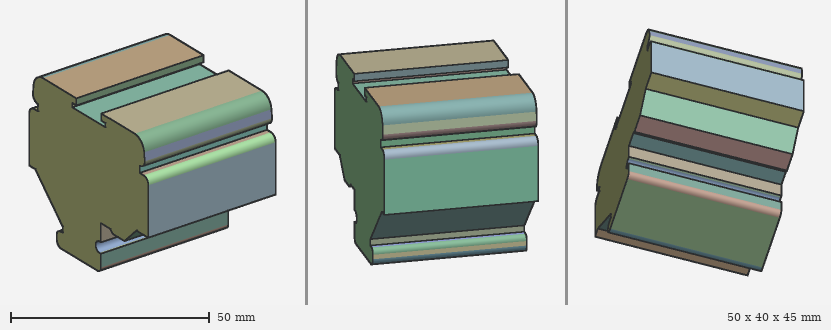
import cadquery as cq
import math

width = 50.0
length = 40.0
height = 45.0
half_width = width / 2

shoulder_top = 34.8
shoulder_bottom = 18.0
shoulder_radius = 2.0

head_half_width = 23.5
head_bottom = 36.8
head_top_radius = 4.0
head_bottom_radius = 2.15
flank_angle = math.radians(5)
neck_half_width = head_half_width - head_bottom_radius
head_flat_half_width = 19.25

slot_mouth_width = 10.5
slot_inner_width = 13.8
slot_lip = 2.0
slot_depth = 3.2

taper_outer_x = -22.5
ankle_x = -11.0
ankle_top = shoulder_bottom - (ankle_x - taper_outer_x)
foot_left = -13.5
foot_right = 5.1
foot_top = 4.8
foot_upper_radius = 1.5
foot_left_radius = 2.0
foot_right_radius = 1.5

groove_radius = 1.6
groove_depth = 2.25
groove_z = 7.0
groove_center_x = foot_right - groove_depth + groove_radius

recess_top = 14.0
ridge_bottom = 13.0
ridge_left = 10.0
ridge_right = 15.0
ridge_outer_x = ridge_right + shoulder_bottom - ridge_bottom


def arc_point(center, radius, angle):
    return (center[0] + radius * math.cos(angle), center[1] + radius * math.sin(angle))


def add_arc(outline, center, radius, start, end):
    """Draw a line to the start of an arc, then the arc itself."""
    middle = arc_point(center, radius, (start + end) / 2)
    outline = outline.lineTo(*arc_point(center, radius, start))
    return outline.threePointArc(middle, arc_point(center, radius, end))


def make_body():
    """Head, neck, shoulders and tapered underside, down to the foot."""
    right, up, left, down = 0, math.pi / 2, math.pi, -math.pi / 2
    head_z = height - head_top_radius
    lobe_z = head_bottom + head_bottom_radius
    shoulder_x = half_width - shoulder_radius
    shoulder_z = shoulder_top - shoulder_radius

    outline = cq.Workplane("XZ").moveTo(-half_width, shoulder_bottom)
    outline = add_arc(outline, (-shoulder_x, shoulder_z), shoulder_radius, left, up)
    outline = outline.lineTo(-neck_half_width, shoulder_top)
    outline = add_arc(outline, (-neck_half_width, lobe_z), head_bottom_radius, 3 * up, left)
    outline = add_arc(
        outline, (-head_flat_half_width, head_z), head_top_radius, left - flank_angle, up
    )
    outline = add_arc(
        outline, (head_flat_half_width, head_z), head_top_radius, up, flank_angle
    )
    outline = add_arc(outline, (neck_half_width, lobe_z), head_bottom_radius, right, down)
    outline = outline.lineTo(neck_half_width, shoulder_top)
    outline = add_arc(outline, (shoulder_x, shoulder_z), shoulder_radius, up, right)
    outline = outline.lineTo(half_width, shoulder_bottom)

    outline = outline.lineTo(ridge_outer_x, shoulder_bottom)
    outline = outline.lineTo(ridge_right, ridge_bottom)
    outline = outline.lineTo(ridge_left, ridge_bottom)
    outline = outline.lineTo(ridge_left - (recess_top - ridge_bottom), recess_top)
    outline = outline.lineTo(foot_right, recess_top)

    foot_right_center = (foot_right - foot_right_radius, foot_right_radius)
    outline = add_arc(outline, foot_right_center, foot_right_radius, right, down)
    foot_left_center = (foot_left + foot_left_radius, foot_left_radius)
    outline = add_arc(outline, foot_left_center, foot_left_radius, 3 * up, left)

    upper_x = foot_left + foot_upper_radius
    slope_rise = (ankle_x - upper_x) * math.tan(flank_angle)
    upper_z = foot_top - slope_rise - foot_upper_radius / math.cos(flank_angle)
    outline = add_arc(
        outline, (upper_x, upper_z), foot_upper_radius, left, up + flank_angle
    )
    outline = outline.lineTo(ankle_x, foot_top)
    outline = outline.lineTo(ankle_x, ankle_top)
    outline = outline.lineTo(taper_outer_x, shoulder_bottom).close()
    return outline.extrude(length / 2, both=True)


def make_box(box_width, box_height, center_x, bottom):
    """A full-length bar standing on the given Z level."""
    bar = cq.Workplane("XY").box(box_width, length, box_height, centered=(True, True, False))
    return bar.translate((center_x, 0, bottom))


def make_t_slot():
    mouth = make_box(slot_mouth_width, slot_depth, 0, height - slot_depth)
    undercut = make_box(slot_inner_width, slot_depth - slot_lip, 0, height - slot_depth)
    return mouth.union(undercut)


def make_foot_groove():
    groove = cq.Workplane("XZ").center(groove_center_x, groove_z)
    groove = groove.circle(groove_radius).extrude(length / 2, both=True)
    opening_width = foot_right - groove_center_x
    opening = make_box(
        opening_width, 2 * groove_radius, groove_center_x + opening_width / 2, groove_z - groove_radius
    )
    return groove.union(opening)


result = make_body().cut(make_t_slot()).cut(make_foot_groove())